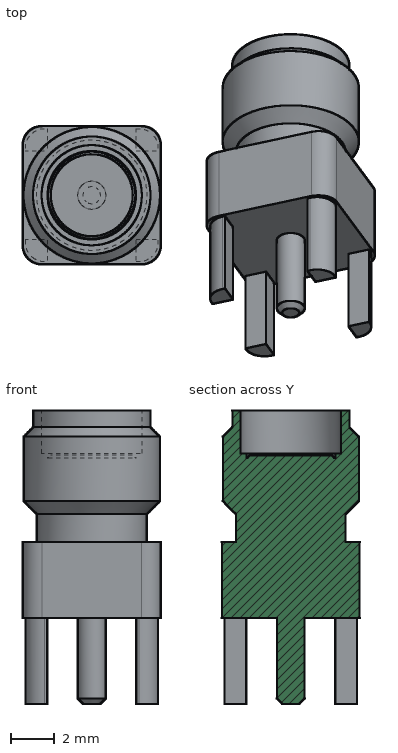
import cadquery as cq


base_side = 6.35
base_height = 3.49
corner_radius = 0.889

leg_side = 1.016
leg_spacing = 5.08
leg_length = 3.94

contact_diameter = 1.29
contact_tip_chamfer = 0.25

neck_diameter = 5.06
barrel_diameter = 6.26
rim_diameter = 5.39
total_height = 13.46
rim_height = 0.77
barrel_height = 2.95

socket_diameter = 4.60
socket_depth = 1.97
insulator_seat_diameter = 4.06

insulator_diameter = 4.00
insulator_sink = 0.08
insulator_chamfer = 0.12

shell_top = total_height - leg_length
shoulder_top = shell_top - rim_height
barrel_top = shoulder_top - (barrel_diameter - rim_diameter) / 2
barrel_bottom = barrel_top - barrel_height
neck_top = barrel_bottom - (barrel_diameter - neck_diameter) / 2
socket_floor = shell_top - socket_depth
insulator_top = socket_floor - insulator_sink
gap_floor = insulator_top - insulator_chamfer


def make_base():
    """Square block with rounded vertical corners."""
    block = cq.Workplane("XY").rect(base_side, base_side).extrude(base_height)
    return block.edges("|Z").fillet(corner_radius)


def make_shell():
    """Revolved neck, barrel, rim, socket and insulator face."""
    profile = [
        (0, base_height),
        (neck_diameter / 2, base_height),
        (neck_diameter / 2, neck_top),
        (barrel_diameter / 2, barrel_bottom),
        (barrel_diameter / 2, barrel_top),
        (rim_diameter / 2, shoulder_top),
        (rim_diameter / 2, shell_top),
        (socket_diameter / 2, shell_top),
        (socket_diameter / 2, socket_floor),
        (insulator_seat_diameter / 2, socket_floor),
        (insulator_seat_diameter / 2, gap_floor),
        (insulator_diameter / 2, gap_floor),
        (insulator_diameter / 2 - insulator_chamfer, insulator_top),
        (0, insulator_top),
    ]
    return cq.Workplane("XZ").polyline(profile).close().revolve(360, (0, 0, 0), (0, 1, 0))


def make_leg(side_x, side_y):
    """Square leg whose outermost vertical edge is rounded; side_x and side_y are +1 or -1."""
    leg = (
        cq.Workplane("XY")
        .center(side_x * leg_spacing / 2, side_y * leg_spacing / 2)
        .rect(leg_side, leg_side)
        .extrude(-leg_length)
    )
    outward = cq.selectors.DirectionMinMaxSelector(cq.Vector(side_x, side_y, 0))
    return leg.edges("|Z").edges(outward).fillet(corner_radius)


def make_contact():
    """Round contact from the insulator face down to its chamfered tail."""
    contact = (
        cq.Workplane("XY", origin=(0, 0, -leg_length))
        .circle(contact_diameter / 2)
        .extrude(leg_length + insulator_top)
    )
    return contact.faces("<Z").chamfer(contact_tip_chamfer)


result = make_base().union(make_shell())
for side_x in (-1, 1):
    for side_y in (-1, 1):
        result = result.union(make_leg(side_x, side_y))

result = result.union(make_contact(), clean=False)